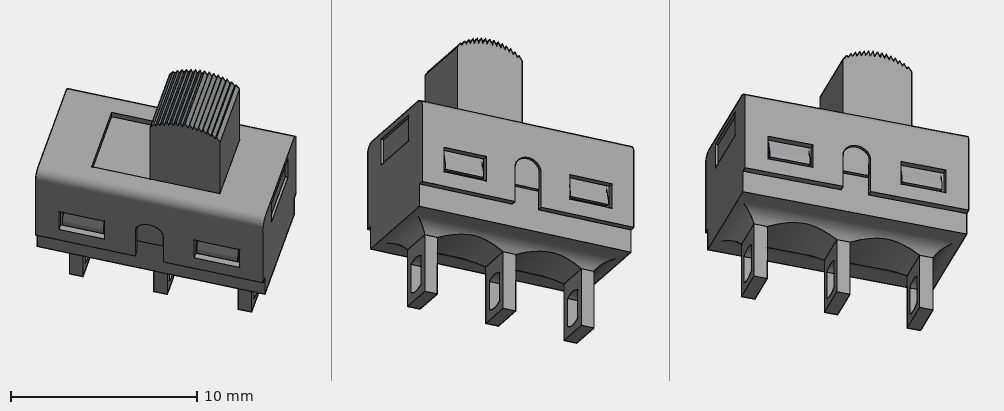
import cadquery as cq
import math


length = 12.7
cover_width = 6.6
cover_thickness = 0.35
base_width = cover_width - 2 * cover_thickness
body_height = 6.35
cover_skirt_z = 1.33
cover_corner_radius = 0.55

opening_length = 7.15
opening_width = 4.0
knob_size = 3.9
knob_center_x = (opening_length - knob_size) / 2
knob_shoulder_z = body_height + 4.19
knob_top_z = body_height + 5.07

tooth_pitch = 0.25
teeth_per_side = 7
tooth_tip_radius = 2.85
valley_arc_radius = 3.73
valley_depth = 0.3
valley_position = 0.67

end_recess_width = 3.3
end_recess_height = 1.53
end_recess_depth = 0.15
end_recess_top_z = body_height - cover_thickness

window_length = 2.54
window_center_x = 3.77
window_bottom_z = 2.19
window_top_z = 3.65
latch_length = 2.28
latch_center_x = 3.745
latch_bottom_z = 2.44
latch_edge_z = 2.74
latch_top_z = 3.46
latch_projection = 0.2

arch_width = 1.56
arch_top_z = 4.13
pad_width = 1.46
pad_bottom_z = 2.44
pad_projection = 0.2

terminal_pitch = 4.7
terminal_thickness = 0.76
terminal_width = 2.1
terminal_length = 3.974
terminal_positions = (-terminal_pitch, 0, terminal_pitch)
eye_width = 1.2
eye_height = 2.0
eye_center_z = -2.5
eye_end_radius = 1.2

resin_radius = 1.2
resin_depth = 0.6
resin_saddle_depth = 0.21

side_y = -cover_width / 2
base_side_y = -base_width / 2


def block(size_x, size_y, z_low, z_high, x=0.0, y=0.0):
    """Box centred on (x, y) and reaching from z_low to z_high."""
    box = cq.Workplane("XY").box(size_x, size_y, z_high - z_low, centered=(True, True, False))
    return box.translate((x, y, z_low))


def both_sides(shape):
    """The shape together with its mirror image across the XZ plane."""
    return shape.union(shape.mirror("XZ"))


def arc_drop(radius, distance):
    """Fall of a circular arc below its crown at a horizontal distance from it."""
    return radius - math.sqrt(radius**2 - distance**2)


def make_body():
    cover = block(length, cover_width, cover_skirt_z, body_height)
    cover = cover.edges("|X and >Z").fillet(cover_corner_radius)
    base = block(length, base_width, 0, body_height - cover_thickness)
    return cover.union(base)


def make_cover_opening():
    return block(opening_length, opening_width, body_height - cover_thickness, body_height)


def make_end_recesses():
    depth_center_x = (length - end_recess_depth) / 2
    bottom_z = end_recess_top_z - end_recess_height
    left = block(end_recess_depth, end_recess_width, bottom_z, end_recess_top_z, -depth_center_x)
    return left.union(left.mirror("YZ"))


def make_window(x):
    center_y = side_y + cover_thickness / 2
    return both_sides(block(window_length, cover_thickness, window_bottom_z, window_top_z, x, center_y))


def make_latch(x):
    outer_y = base_side_y - latch_projection
    wedge = (
        cq.Workplane("YZ")
        .moveTo(base_side_y, latch_bottom_z)
        .lineTo(outer_y, latch_bottom_z)
        .lineTo(outer_y, latch_edge_z)
        .lineTo(base_side_y, latch_top_z)
        .close()
        .extrude(latch_length / 2, both=True)
        .translate((x, 0, 0))
    )
    return both_sides(wedge)


def make_arch_slot():
    half = arch_width / 2
    spring_z = arch_top_z - half
    slot = (
        cq.Workplane("XZ", origin=(0, base_side_y, 0))
        .moveTo(-half, cover_skirt_z)
        .lineTo(-half, spring_z)
        .threePointArc((0, arch_top_z), (half, spring_z))
        .lineTo(half, cover_skirt_z)
        .close()
        .extrude(cover_thickness)
    )
    return both_sides(slot)


def make_pad():
    return both_sides(
        block(pad_width, pad_projection, pad_bottom_z, arch_top_z, 0, base_side_y - pad_projection / 2)
    )


def make_knob():
    half = knob_size / 2
    floor_z = body_height - cover_thickness
    right_teeth = []
    for index in range(teeth_per_side):
        valley_x = (index + valley_position) * tooth_pitch
        valley_z = knob_top_z - valley_depth - arc_drop(valley_arc_radius, valley_x)
        tip_x = (index + 1) * tooth_pitch
        tip_z = knob_top_z - arc_drop(tooth_tip_radius, tip_x)
        right_teeth += [(valley_x, valley_z), (tip_x, tip_z)]
    left_teeth = [(-x, z) for x, z in reversed(right_teeth)]
    outline = [(-half, floor_z), (-half, knob_shoulder_z)]
    outline += left_teeth + [(0, knob_top_z)] + right_teeth
    outline += [(half, knob_shoulder_z), (half, floor_z)]
    knob = cq.Workplane("XZ").polyline(outline).close().extrude(knob_size / 2, both=True)
    return knob.translate((knob_center_x, 0, 0))


def make_terminal(x):
    blade = block(terminal_thickness, terminal_width, -terminal_length, 0, x)
    half = eye_width / 2
    end_z = eye_height / 2
    shoulder_z = end_z - arc_drop(eye_end_radius, half)
    eye = (
        cq.Workplane("YZ")
        .moveTo(-half, -shoulder_z)
        .threePointArc((0, -end_z), (half, -shoulder_z))
        .lineTo(half, shoulder_z)
        .threePointArc((0, end_z), (-half, shoulder_z))
        .close()
        .extrude(terminal_thickness, both=True)
        .translate((x, 0, eye_center_z))
    )
    return blade.cut(eye)


def make_resin():
    """Resin common to a lengthwise profile and a crosswise profile."""
    reach = math.sqrt(resin_radius**2 - (resin_radius - resin_depth) ** 2)
    middle_reach = reach / 2
    middle_depth = arc_drop(resin_radius, middle_reach)
    half_blade = terminal_thickness / 2
    end_x = terminal_pitch + half_blade
    saddle_x = terminal_pitch / 2

    along = cq.Workplane("XZ").moveTo(-end_x - reach, 0)
    along = along.threePointArc((-end_x - middle_reach, -middle_depth), (-end_x, -resin_depth))
    for x in terminal_positions:
        if x > terminal_positions[0]:
            along = along.threePointArc((x - saddle_x, -resin_saddle_depth), (x - half_blade, -resin_depth))
        along = along.lineTo(x + half_blade, -resin_depth)
    along = along.threePointArc((end_x + middle_reach, -middle_depth), (end_x + reach, 0))
    along = along.close().extrude(base_width / 2, both=True)

    side = terminal_width / 2
    across = (
        cq.Workplane("YZ")
        .moveTo(-side - reach, 0)
        .threePointArc((-side - middle_reach, -middle_depth), (-side, -resin_depth))
        .lineTo(side, -resin_depth)
        .threePointArc((side + middle_reach, -middle_depth), (side + reach, 0))
        .close()
        .extrude(length / 2, both=True)
    )
    return along.intersect(across)


result = make_body().cut(make_cover_opening()).cut(make_end_recesses()).cut(make_arch_slot())
result = result.union(make_pad()).union(make_knob()).union(make_resin())
for direction in (-1, 1):
    result = result.cut(make_window(direction * window_center_x))
    result = result.union(make_latch(direction * latch_center_x))
for terminal_x in terminal_positions:
    result = result.union(make_terminal(terminal_x))